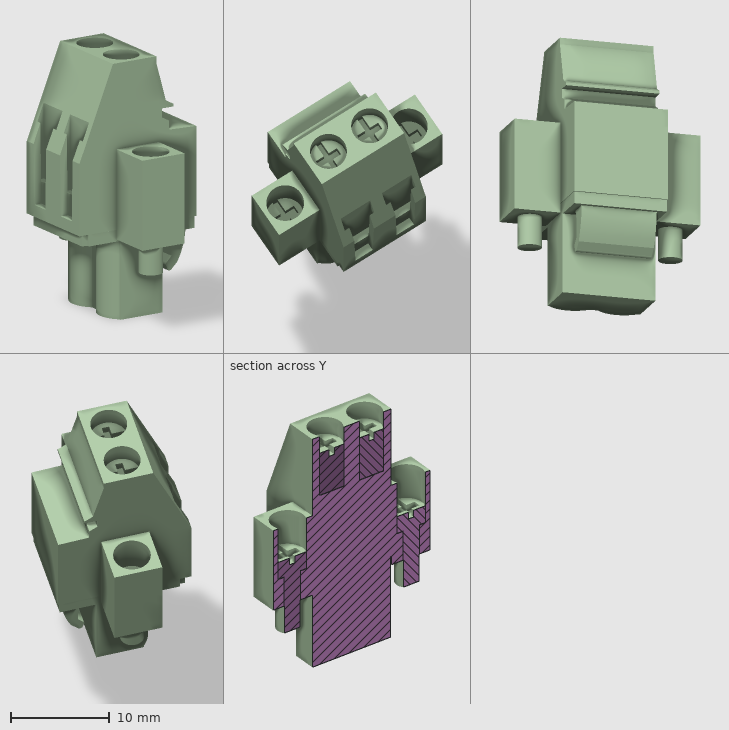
import cadquery as cq


POLE_PITCH = 5.0
POLE_XS = (-POLE_PITCH / 2, POLE_PITCH / 2)
BODY_WIDTH = 9.98
OVERALL_WIDTH = 19.8
OVERALL_DEPTH = 14.05
OVERALL_HEIGHT = 27.2
FRONT_Y = -OVERALL_DEPTH / 2
BACK_Y = OVERALL_DEPTH / 2

BODY_BOTTOM_Z = 9.6
TOP_FRONT_Y = -3.0
TOP_BACK_Y = 2.22
SLOPE_FOOT_Z = 17.25

PLATE_BOTTOM_Z = 8.34
PLATE_WIDTH = 9.88
PLATE_FRONT_Y = -6.45
PLATE_BACK_Y = 6.85
PLATE_NOTCH_WIDTH = 0.34
PLATE_NOTCH_DEPTH = 0.6

PLUG_WIDTH = 9.88
PLUG_BACK_Y = 3.0
PLUG_FLAT_Y = -2.05
LOBE_WIDTH = 4.3
LOBE_HEIGHT = 0.96
LOBE_X = 2.61

LATCH_WIDTH = 8.0

CAVITY_WIDTH = 3.57
CAVITY_BACK_Y = -5.42
CAVITY_FRONT_Y = -6.18
CAVITY_BOTTOM_Z = 13.2
CAVITY_TOP_Z = 21.2
SLOT_BOTTOM_Z = 10.85
SLOT_BOTTOM_WIDTH = 2.09
SLOT_TOP_WIDTH = 2.56

FLANGE_DEPTH = 5.06
FLANGE_Y = -0.04
FLANGE_BOTTOM_Z = 8.58
FLANGE_TOP_Z = 18.1
FLANGE_SCREW_X = 7.5
FLANGE_SCREW_XS = (-FLANGE_SCREW_X, FLANGE_SCREW_X)

FLANGE_HEAD_DIAMETER = 3.83
FLANGE_HEAD_HEIGHT = 2.0
FLANGE_HEAD_RECESS = 4.0
FLANGE_HEAD_TOP_Z = FLANGE_TOP_Z - FLANGE_HEAD_RECESS
FLANGE_SEAT_Z = FLANGE_HEAD_TOP_Z - FLANGE_HEAD_HEIGHT
FLANGE_SHANK_DIAMETER = 2.5
FLANGE_SHANK_BOTTOM_Z = 5.36

CLAMP_DIAMETER = 3.75
CLAMP_Y = -0.42
CLAMP_RECESS = 2.0
CLAMP_LENGTH = 5.0
CLAMP_TOP_Z = OVERALL_HEIGHT - CLAMP_RECESS
CLAMP_BOTTOM_Z = CLAMP_TOP_Z - CLAMP_LENGTH

CROSS_DEPTH = 0.8
LONG_SLOT_WIDTH = 0.6
CLAMP_SHORT_SLOT = (2.55, 0.77)
FLANGE_SHORT_SLOT = (2.66, 0.85)


def box_between(x_range, y_range, z_range):
    """Axis-aligned box given by its limits along each axis."""
    size = [high - low for low, high in (x_range, y_range, z_range)]
    corner = (x_range[0], y_range[0], z_range[0])
    return cq.Workplane("XY").box(*size, centered=False).translate(corner)


def cylinder(diameter, x, y, bottom_z, top_z):
    """Upright cylinder between two heights."""
    base = cq.Workplane("XY", origin=(x, y, bottom_z))
    return base.circle(diameter / 2).extrude(top_z - bottom_z)


def body_block():
    """Side profile with the sloped front and the stepped, hooked back."""
    profile = [
        (FRONT_Y, BODY_BOTTOM_Z),
        (FRONT_Y, SLOPE_FOOT_Z),
        (TOP_FRONT_Y, OVERALL_HEIGHT),
        (TOP_BACK_Y, OVERALL_HEIGHT),
        (TOP_BACK_Y, 26.5),
        (3.37, 22.36),
        (4.26, 21.88),
        (4.26, 21.58),
        (2.9, 21.58),
        (2.9, 20.63),
        (3.75, 20.17),
        (3.75, 19.3),
        (3.85, 19.2),
        (BACK_Y, 19.1),
        (BACK_Y, BODY_BOTTOM_Z),
    ]
    return cq.Workplane("YZ").polyline(profile).close().extrude(BODY_WIDTH / 2, both=True)


def base_plate():
    """Plate under the body, with both front corners notched."""
    half_width = PLATE_WIDTH / 2
    z_range = (PLATE_BOTTOM_Z, BODY_BOTTOM_Z)
    notch_y = PLATE_FRONT_Y + PLATE_NOTCH_DEPTH
    rear_part = box_between((-half_width, half_width), (notch_y, PLATE_BACK_Y), z_range)
    nose_half_width = half_width - PLATE_NOTCH_WIDTH
    nose = box_between((-nose_half_width, nose_half_width), (PLATE_FRONT_Y, notch_y), z_range)
    return rear_part.union(nose)


def plug():
    """Rectangular plug whose front carries one shallow rounded lobe per pole."""
    half_width = PLUG_WIDTH / 2
    outline = cq.Workplane("XY").moveTo(-half_width, PLUG_BACK_Y).lineTo(-half_width, PLUG_FLAT_Y)
    for x in (-LOBE_X, LOBE_X):
        outline = outline.lineTo(x - LOBE_WIDTH / 2, PLUG_FLAT_Y)
        crest = (x, PLUG_FLAT_Y - LOBE_HEIGHT)
        outline = outline.threePointArc(crest, (x + LOBE_WIDTH / 2, PLUG_FLAT_Y))
    outline = outline.lineTo(half_width, PLUG_FLAT_Y).lineTo(half_width, PLUG_BACK_Y)
    return outline.close().extrude(PLATE_BOTTOM_Z)


def latch():
    """Hooked latch hanging from the plate behind the plug, set in from the plate's sides."""
    outline = (
        cq.Workplane("YZ")
        .moveTo(4.32, PLATE_BOTTOM_Z)
        .lineTo(6.38, PLATE_BOTTOM_Z)
        .threePointArc((6.09, 6.5), (5.4, 4.8))
        .lineTo(4.72, 4.13)
        .threePointArc((4.45, 3.98), (4.2, 4.06))
        .lineTo(4.0, 4.63)
        .threePointArc((4.02, 4.8), (4.13, 4.93))
        .lineTo(4.67, 5.5)
        .lineTo(4.67, 7.2)
        .close()
    )
    return outline.extrude(LATCH_WIDTH / 2, both=True)


def flange(side):
    """Block on one side of the body; side is -1 or +1."""
    inner_x = side * BODY_WIDTH / 2
    outer_x = side * OVERALL_WIDTH / 2
    x_range = (min(inner_x, outer_x), max(inner_x, outer_x))
    y_range = (FLANGE_Y - FLANGE_DEPTH / 2, FLANGE_Y + FLANGE_DEPTH / 2)
    return box_between(x_range, y_range, (FLANGE_BOTTOM_Z, FLANGE_TOP_Z))


def wire_entry(x):
    """Inner cavity, cutting into the slope, and the tapered slot that opens it to the front."""
    half_width = CAVITY_WIDTH / 2
    cavity = box_between(
        (x - half_width, x + half_width),
        (CAVITY_FRONT_Y, CAVITY_BACK_Y),
        (CAVITY_BOTTOM_Z, CAVITY_TOP_Z),
    )
    slot_outline = [
        (x - SLOT_BOTTOM_WIDTH / 2, SLOT_BOTTOM_Z),
        (x + SLOT_BOTTOM_WIDTH / 2, SLOT_BOTTOM_Z),
        (x + SLOT_TOP_WIDTH / 2, CAVITY_TOP_Z),
        (x - SLOT_TOP_WIDTH / 2, CAVITY_TOP_Z),
    ]
    slot_plane = cq.Workplane("XZ", origin=(0, CAVITY_FRONT_Y, 0))
    slot = slot_plane.polyline(slot_outline).close().extrude(CAVITY_FRONT_Y - FRONT_Y)
    return cavity.union(slot)


def clamp_hole(x):
    """Blind hole that holds a clamping screw below the top face."""
    return cylinder(CLAMP_DIAMETER, x, CLAMP_Y, CLAMP_BOTTOM_Z, OVERALL_HEIGHT)


def flange_hole(x):
    """Through hole with a deep counterbore for a flange screw."""
    counterbore = cylinder(FLANGE_HEAD_DIAMETER, x, FLANGE_Y, FLANGE_SEAT_Z, FLANGE_TOP_Z)
    return counterbore.union(cylinder(FLANGE_SHANK_DIAMETER, x, FLANGE_Y, FLANGE_BOTTOM_Z, FLANGE_SEAT_Z))


def make_housing():
    """Body, plate, plug, latch and flanges in one solid, with its holes cut."""
    solid = body_block().union(base_plate()).union(plug()).union(latch())
    for side in (-1, 1):
        solid = solid.union(flange(side))
    for x in POLE_XS:
        solid = solid.cut(wire_entry(x)).cut(clamp_hole(x))
    for x in FLANGE_SCREW_XS:
        solid = solid.cut(flange_hole(x))
    return solid


def cross_recess(x, y, top_z, head_diameter, short_slot):
    """Slot across the whole head along Y, crossed by a shorter, wider slot along X."""
    base = cq.Workplane("XY", origin=(x, y, top_z - CROSS_DEPTH))
    long_slot = base.rect(LONG_SLOT_WIDTH, head_diameter).extrude(CROSS_DEPTH)
    return long_slot.union(base.rect(*short_slot).extrude(CROSS_DEPTH))


def make_clamp_screw(x):
    """Headless clamping screw."""
    screw = cylinder(CLAMP_DIAMETER, x, CLAMP_Y, CLAMP_BOTTOM_Z, CLAMP_TOP_Z)
    return screw.cut(cross_recess(x, CLAMP_Y, CLAMP_TOP_Z, CLAMP_DIAMETER, CLAMP_SHORT_SLOT))


def make_flange_screw(x):
    """Screw with a cylindrical head and a shank that sticks out below the flange."""
    head = cylinder(FLANGE_HEAD_DIAMETER, x, FLANGE_Y, FLANGE_SEAT_Z, FLANGE_HEAD_TOP_Z)
    shank = cylinder(FLANGE_SHANK_DIAMETER, x, FLANGE_Y, FLANGE_SHANK_BOTTOM_Z, FLANGE_SEAT_Z)
    cross = cross_recess(x, FLANGE_Y, FLANGE_HEAD_TOP_Z, FLANGE_HEAD_DIAMETER, FLANGE_SHORT_SLOT)
    return head.union(shank).cut(cross)


housing = make_housing()
clamp_screws = [make_clamp_screw(x) for x in POLE_XS]
flange_screws = [make_flange_screw(x) for x in FLANGE_SCREW_XS]

bodies = [housing, *clamp_screws, *flange_screws]
result = cq.Compound.makeCompound([body.solids().val() for body in bodies])